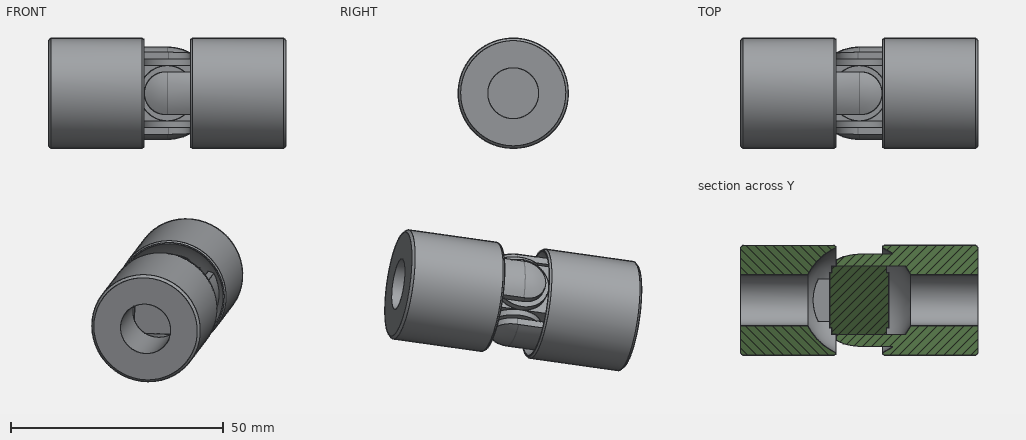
import cadquery as cq

LENGTH = 56.0
HUB_DIAMETER = 26.0
HUB_RADIUS = HUB_DIAMETER / 2
HALF_GAP = 5.45
OUTER_CHAMFER = 0.6
RIM_CHAMFER_LENGTH = 0.5
RIM_CHAMFER_DEPTH = 0.35
BORE_DIAMETER = 12.0
RECESS_RADIUS = 13.5

BOSS_DIAMETER = 13.0
BLOCK_WIDTH = BOSS_DIAMETER
BLOCK_LENGTH = 13.9
BOSS_FACE = 8.0

EAR_OUTER_RADIUS = 10.9
EAR_WIDTH = 10.1
EAR_TIP = 5.4
EAR_ARC_CENTRE = EAR_TIP - EAR_WIDTH / 2
EAR_ROOT = -LENGTH / 4


def make_hub():
    """Chamfered round hub on the -X side, with a spherical recess and a through bore."""
    hub_length = LENGTH / 2 - HALF_GAP
    hub = cq.Workplane("YZ").workplane(offset=-LENGTH / 2).circle(HUB_RADIUS).extrude(hub_length)
    hub = hub.faces("<X").chamfer(OUTER_CHAMFER)
    hub = hub.faces(">X").edges().chamfer(RIM_CHAMFER_LENGTH, RIM_CHAMFER_DEPTH)
    return hub.cut(cq.Workplane("XY").sphere(RECESS_RADIUS))


def make_ears():
    """Two round-tipped ears at +Z and -Z, bounded outside by a cylinder with a spherical end."""
    half_width = EAR_WIDTH / 2
    ears = (
        cq.Workplane("XY")
        .moveTo(EAR_ROOT, -half_width)
        .lineTo(EAR_ARC_CENTRE, -half_width)
        .threePointArc((EAR_TIP, 0), (EAR_ARC_CENTRE, half_width))
        .lineTo(EAR_ROOT, half_width)
        .close()
        .extrude(EAR_OUTER_RADIUS, both=True)
    )
    space_between = cq.Workplane("XY").box(LENGTH, HUB_DIAMETER, 2 * BOSS_FACE)
    envelope = (
        cq.Workplane("XZ")
        .moveTo(EAR_ROOT, 0)
        .lineTo(EAR_ROOT, EAR_OUTER_RADIUS)
        .lineTo(0, EAR_OUTER_RADIUS)
        .radiusArc((EAR_OUTER_RADIUS, 0), EAR_OUTER_RADIUS)
        .close()
        .revolve(360, (0, 0, 0), (1, 0, 0))
    )
    return ears.cut(space_between).intersect(envelope)


def make_yoke():
    """One yoke: hub and ears in one piece, with the shaft bore cut through to the recess."""
    bore = cq.Workplane("YZ").workplane(offset=-LENGTH / 2).circle(BORE_DIAMETER / 2).extrude(LENGTH / 2)
    return make_hub().union(make_ears()).cut(bore)


def make_cross():
    """Central square block with bosses along Y and Z, touching the inner faces of the ears."""
    cross = cq.Workplane("XY").box(BLOCK_LENGTH, BLOCK_WIDTH, BLOCK_WIDTH)
    for plane in ("XY", "XZ"):
        bosses = cq.Workplane(plane).circle(BOSS_DIAMETER / 2).extrude(BOSS_FACE, both=True)
        cross = cross.union(bosses)
    return cross


yokes = []
for end_turn, quarter_turn in ((0, 0), (180, 90)):
    yoke = make_yoke().rotate((0, 0, 0), (0, 0, 1), end_turn)
    yokes.append(yoke.rotate((0, 0, 0), (1, 0, 0), quarter_turn))

cross = make_cross()

result = cq.Compound.makeCompound([*[yoke.val() for yoke in yokes], cross.val()])